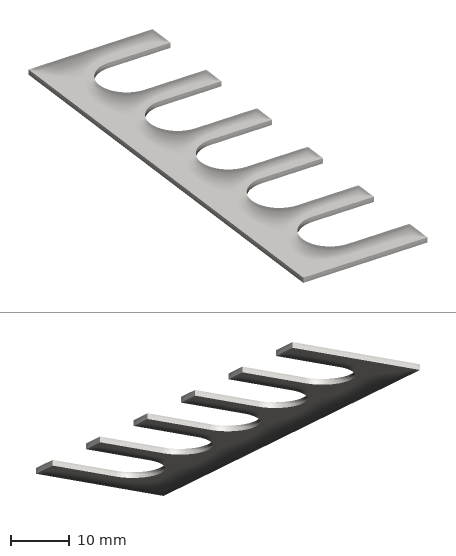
import cadquery as cq

length = 85.7
depth = 25.4
thickness = 1.0

slot_count = 5
slot_pitch = 15.9
slot_width = 11.15
spine_width = 7.2

slot_radius = slot_width / 2
arc_center_y = -depth / 2 + spine_width + slot_radius
straight_length = depth / 2 - arc_center_y


def slot_cutter(center_x):
    """Solid of one U-shaped slot running from its round bottom to the +Y edge."""
    round_bottom = cq.Workplane("XY").center(center_x, arc_center_y).circle(slot_radius).extrude(thickness)
    straight_part = (
        cq.Workplane("XY")
        .center(center_x, arc_center_y + straight_length / 2)
        .rect(slot_width, straight_length)
        .extrude(thickness)
    )
    return round_bottom.union(straight_part)


result = cq.Workplane("XY").rect(length, depth).extrude(thickness)

for index in range(slot_count):
    offset_from_middle = index - (slot_count - 1) / 2
    result = result.cut(slot_cutter(offset_from_middle * slot_pitch))